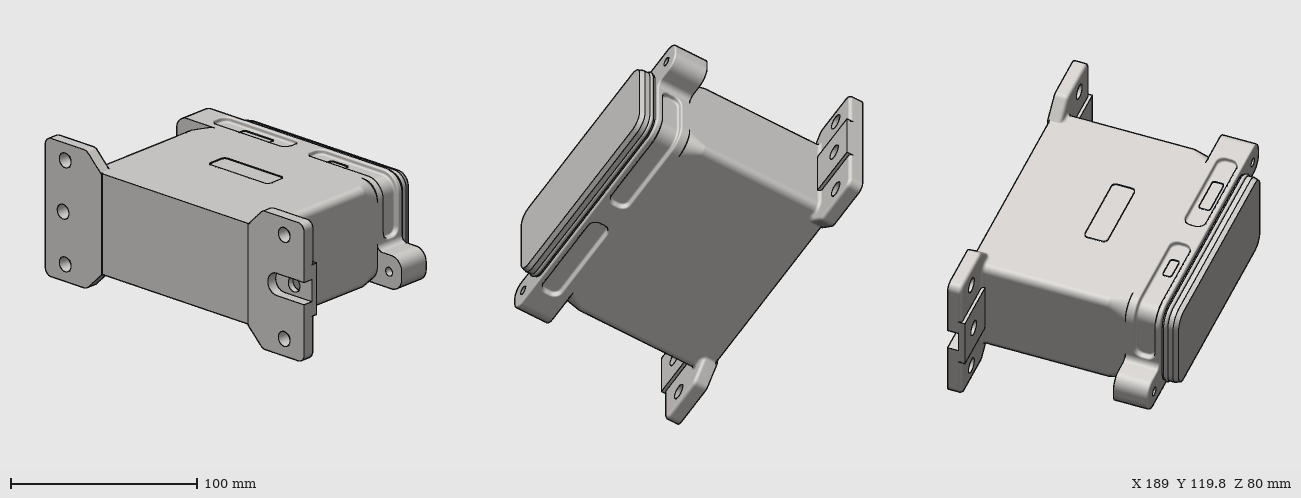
import cadquery as cq

TOTAL_WIDTH = 189.0
TOTAL_HEIGHT = 80.0
TOTAL_DEPTH = 119.8

BODY_WIDTH = 128.9
BODY_HEIGHT = 58.2
BODY_FRONT = 1.0
BODY_CORNER = 4.3
TAPER_START = 80.9
TAPER_CORNER = 10.0

LABEL_SIZE = (43.8, 13.2)
LABEL_CENTER_Y = 56.7
LABEL_CORNER = 2.5
RECESS_DEPTH = 0.5

PLATE_THICKNESS = 8.1
PLATE_INNER_X = 53.5
PLATE_CORNER = 4.3
PLATE_EDGE_FILLET = 1.9
RIB_WIDTH = 29.9
RIB_BACK = 10.0
RIB_INNER_X = 62.4
MOUNT_HOLE = 8.5
CORNER_HOLE_X = 80.0
CORNER_HOLE_Z = 30.0
MIDDLE_HOLE_X = 81.5
SLOT_WIDTH = 12.9
SLOT_CENTER_X = 74.5
SLOT_DEPTH = 6.2
ROOT_FILLET = RIB_BACK - PLATE_THICKNESS

FLANGE_FRONT = 90.7
FLANGE_BACK = 110.8
FLANGE_CORNER = 11.2
FLANGE_EDGE = 1.0
EAR_X = 82.2
EAR_BOTTOM_Z = 9.8
EAR_CORNER = 7.5
EAR_ROOT_RADIUS = 3.5
EAR_HOLE = 5.0
EAR_HOLE_X = 73.0
EAR_HOLE_Z = 19.7

WINDOW_CENTER_Y = 101.7
WINDOW_WIDTH = 11.5
WINDOW_CORNER = 4.5
WINDOW_DEPTH = 3.0
WINDOW_RIM = 1.0
WINDOW_FLOOR = 1.1
SHORT_WINDOW_X = (-62.0, -7.4)
WRAP_WINDOW_X = 7.4
WRAP_WINDOW_Z = -5.5
LARGE_BADGE = (22.0, 6.6)
LARGE_BADGE_X = -34.8
SMALL_BADGE = (13.0, 5.1)
SMALL_BADGE_X = 25.0
BADGE_CORNER = 1.5

PLUG_WIDTH = 122.5
PLUG_HEIGHT = 52.2
PLUG_CORNER = 8.5
PLUG_CHAMFER = (1.0, 2.8)
BEAD_START = 111.5
BEAD_THICKNESS = 2.5
BEAD_HEIGHT = 0.8

HALF_W = BODY_WIDTH / 2
HALF_H = BODY_HEIGHT / 2
TOUCHING = 0.02


def xz_plane(y):
    """Plane across the part at the given Y, with extrusions toward +Y and local y along -Z."""
    return cq.Workplane(cq.Plane((0, y, 0), (1, 0, 0), (0, 1, 0)))


def box(x, y, z):
    """Box from three (low, high) ranges."""
    size = (x[1] - x[0], y[1] - y[0], z[1] - z[0])
    return cq.Workplane("XY").box(*size, centered=False).translate((x[0], y[0], z[0]))


def rounded_bar(width, height, corner, start, end):
    """Bar along Y with its four long edges rounded."""
    bar = xz_plane(start).rect(width, height).extrude(end - start)
    return bar.edges("|Y").fillet(corner)


def half_turn(shape):
    """Shape turned 180 degrees about the Y axis."""
    return shape.rotate((0, 0, 0), (0, 1, 0), 180)


def make_body():
    """Block whose corner rounding widens toward the flange."""
    straight = rounded_bar(BODY_WIDTH, BODY_HEIGHT, BODY_CORNER, BODY_FRONT, TAPER_START)
    start = cq.Sketch().rect(BODY_WIDTH, BODY_HEIGHT).vertices().fillet(BODY_CORNER)
    end = cq.Sketch().rect(BODY_WIDTH, BODY_HEIGHT).vertices().fillet(TAPER_CORNER)
    end_place = cq.Location(cq.Vector(0, 0, FLANGE_FRONT - TAPER_START))
    sections = xz_plane(TAPER_START).placeSketch(start, end.moved(end_place))
    return straight.union(sections.loft(ruled=True))


def make_plate():
    """Right-hand plate with its inner corners cut at 45 degrees, without holes."""
    half_height = TOTAL_HEIGHT / 2
    outer_x = TOTAL_WIDTH / 2
    shoulder_x = PLATE_INNER_X + half_height - HALF_H
    outline = [
        (PLATE_INNER_X, -HALF_H),
        (shoulder_x, -half_height),
        (outer_x, -half_height),
        (outer_x, half_height),
        (shoulder_x, half_height),
        (PLATE_INNER_X, HALF_H),
    ]
    plate = xz_plane(0).polyline(outline).close().extrude(PLATE_THICKNESS)
    plate = plate.edges("|Y and (not <X)").fillet(PLATE_CORNER)
    return plate.faces(">Y").edges("not <X").fillet(PLATE_EDGE_FILLET)


def make_rib():
    """Right-hand rib, rooted inside the plate and standing out behind it."""
    return box(
        (RIB_INNER_X, TOTAL_WIDTH / 2),
        (PLATE_THICKNESS / 2, RIB_BACK),
        (-RIB_WIDTH / 2, RIB_WIDTH / 2),
    )


def make_mounting_cuts():
    """Through holes of both plates and the open slot on the right-hand mounting face."""
    points = [(x, z) for x in (-CORNER_HOLE_X, CORNER_HOLE_X) for z in (-CORNER_HOLE_Z, CORNER_HOLE_Z)]
    points += [(-MIDDLE_HOLE_X, 0), (MIDDLE_HOLE_X, 0)]
    holes = xz_plane(0).pushPoints(points).circle(MOUNT_HOLE / 2).extrude(RIB_BACK)
    slot_round = xz_plane(0).center(SLOT_CENTER_X, 0).circle(SLOT_WIDTH / 2).extrude(SLOT_DEPTH)
    slot_run = box((SLOT_CENTER_X, TOTAL_WIDTH / 2), (0, SLOT_DEPTH), (-SLOT_WIDTH / 2, SLOT_WIDTH / 2))
    return holes.union(slot_round).union(slot_run)


def make_ear():
    """Upper left ear: rounded outer end and a concave blend into the flange side below it."""
    ear = box((-EAR_X, 0), (FLANGE_FRONT, FLANGE_BACK), (EAR_BOTTOM_Z, HALF_H))
    ear = ear.edges("|Y and <X").fillet(EAR_CORNER)
    web_z = (EAR_BOTTOM_Z - EAR_ROOT_RADIUS, EAR_BOTTOM_Z)
    web = box((-HALF_W - EAR_ROOT_RADIUS, -HALF_W), (FLANGE_FRONT, FLANGE_BACK), web_z)
    hollow = xz_plane(FLANGE_FRONT).center(-HALF_W - EAR_ROOT_RADIUS, -web_z[0])
    hollow = hollow.circle(EAR_ROOT_RADIUS).extrude(FLANGE_BACK - FLANGE_FRONT)
    return ear.union(web.cut(hollow))


def make_flange():
    """Rounded block with two ears and a rounded rear edge."""
    core = rounded_bar(BODY_WIDTH, BODY_HEIGHT, FLANGE_CORNER, FLANGE_FRONT, FLANGE_BACK)
    ear = make_ear()
    flange = core.union(ear).union(half_turn(ear)).clean()
    return flange.faces(">Y").edges().fillet(FLANGE_EDGE)


def window_prism(x, z, direction):
    """Rounded slot through the rim, its corners rounded about the given axis."""
    y = (WINDOW_CENTER_Y - WINDOW_WIDTH / 2, WINDOW_CENTER_Y + WINDOW_WIDTH / 2)
    return box(x, y, z).edges("|" + direction).fillet(WINDOW_CORNER)


def sink_window(flange, prism, floor):
    """Cut a window down to the floor block and round its floor and its rim."""
    window = prism.cut(floor)
    floor_edges = [e for e in window.edges().vals() if midpoint_gap(e, floor) < TOUCHING]
    flange = flange.cut(window.newObject(floor_edges).fillet(WINDOW_FLOOR))
    rim_edges = [
        e
        for e in flange.edges().vals()
        if midpoint_gap(e, prism) < TOUCHING and midpoint_gap(e, floor) > WINDOW_DEPTH - TOUCHING
    ]
    return flange.newObject(rim_edges).fillet(WINDOW_RIM)


def midpoint_gap(edge, shape):
    """Distance from the middle of an edge to a shape."""
    return cq.Vertex.makeVertex(*edge.positionAt(0.5).toTuple()).distance(shape.val())


def add_windows(flange):
    """Sink the short top window and the one round the upper right corner, each with its half-turn twin."""
    beyond = TOTAL_WIDTH / 2
    corner_x = HALF_W - FLANGE_CORNER
    corner_z = HALF_H - FLANGE_CORNER
    short = window_prism(SHORT_WINDOW_X, (corner_z, beyond), "Z")
    flat_floor = box((-beyond, beyond), (FLANGE_FRONT, FLANGE_BACK), (0, HALF_H - WINDOW_DEPTH))
    wrap_top = window_prism((WRAP_WINDOW_X, beyond), (corner_z, beyond), "Z")
    wrap_side = window_prism((corner_x, beyond), (WRAP_WINDOW_Z, beyond), "X")
    wrap = wrap_top.union(wrap_side)
    wrap_floor = rounded_bar(
        BODY_WIDTH - 2 * WINDOW_DEPTH,
        BODY_HEIGHT - 2 * WINDOW_DEPTH,
        FLANGE_CORNER - WINDOW_DEPTH,
        FLANGE_FRONT,
        FLANGE_BACK,
    )
    for prism, floor in ((short, flat_floor), (wrap, wrap_floor)):
        flange = sink_window(flange, prism, floor)
        flange = sink_window(flange, half_turn(prism), half_turn(floor))
    return flange


def make_ear_holes():
    """One through hole in each ear."""
    points = [(-EAR_HOLE_X, -EAR_HOLE_Z), (EAR_HOLE_X, EAR_HOLE_Z)]
    circles = xz_plane(FLANGE_FRONT).pushPoints(points).circle(EAR_HOLE / 2)
    return circles.extrude(FLANGE_BACK - FLANGE_FRONT)


def make_plug():
    """Chamfered plug with a sealing bead of circular-segment profile swept round it."""
    plug = rounded_bar(PLUG_WIDTH, PLUG_HEIGHT, PLUG_CORNER, FLANGE_BACK, TOTAL_DEPTH)
    plug = plug.faces(">Y").chamfer(PLUG_CHAMFER[1], PLUG_CHAMFER[0])
    bead_end = BEAD_START + BEAD_THICKNESS
    path = rounded_bar(PLUG_WIDTH, PLUG_HEIGHT, PLUG_CORNER, BEAD_START, bead_end).faces("<Y").wires()
    side = PLUG_WIDTH / 2
    crest = (side + BEAD_HEIGHT, BEAD_START + BEAD_THICKNESS / 2)
    segment = cq.Workplane("XY").moveTo(side, BEAD_START).threePointArc(crest, (side, bead_end))
    segment = segment.lineTo(side - BEAD_HEIGHT, bead_end).lineTo(side - BEAD_HEIGHT, BEAD_START).close()
    bead = segment.sweep(cq.Workplane(path.val()))
    return plug.union(bead)


def make_recess(size, x, y, surface_z, corner):
    """Block reaching one recess depth below the given surface."""
    recess = cq.Workplane("XY").box(*size, 2 * RECESS_DEPTH).edges("|Z").fillet(corner)
    return recess.translate((x, y, surface_z))


def make_recesses():
    """Label recess on the body and a badge recess in the floor of each top window."""
    window_floor_z = HALF_H - WINDOW_DEPTH
    label = make_recess(LABEL_SIZE, 0, LABEL_CENTER_Y, HALF_H, LABEL_CORNER)
    large = make_recess(LARGE_BADGE, LARGE_BADGE_X, WINDOW_CENTER_Y, window_floor_z, BADGE_CORNER)
    small = make_recess(SMALL_BADGE, SMALL_BADGE_X, WINDOW_CENTER_Y, window_floor_z, BADGE_CORNER)
    return label.union(large).union(small)


def make_base():
    """Body with both plates, blended where they meet, and the ribs behind the plates."""
    plate = make_plate()
    base = make_body().union(plate).union(half_turn(plate))
    root_edges = cq.selectors.BoxSelector(
        (-HALF_W - TOUCHING, PLATE_THICKNESS - TOUCHING, -HALF_H - TOUCHING),
        (HALF_W + TOUCHING, PLATE_THICKNESS + TOUCHING, HALF_H + TOUCHING),
    )
    base = base.edges(root_edges).fillet(ROOT_FILLET)
    rib = make_rib()
    return base.union(rib).union(half_turn(rib)).cut(make_mounting_cuts())


flange = add_windows(make_flange()).cut(make_ear_holes())
result = make_base().union(flange).union(make_plug()).cut(make_recesses())